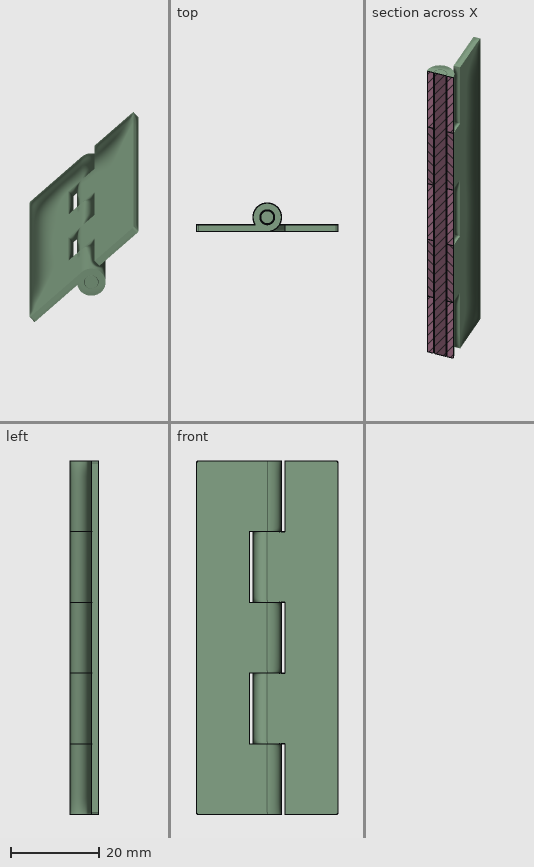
import cadquery as cq

hinge_length = 80.0
open_width = 32.0
leaf_thickness = 1.6
bore_diameter = 3.3
pin_diameter = 3.0
knuckle_count = 5
notch_reach = 4.0
corner_radius = 0.5

knuckle_radius = bore_diameter / 2 + leaf_thickness
knuckle_length = hinge_length / knuckle_count
leaf_width = open_width / 2
leaf_back = -knuckle_radius


def knuckle_start(index):
    """Height of the lower end of a knuckle, counted from the bottom."""
    return index * knuckle_length - hinge_length / 2


def make_plate(side):
    """Flat leaf from the hinge axis outward, with rounded outer corners."""
    outer_edge = ">X" if side > 0 else "<X"
    return (
        cq.Workplane("XY")
        .box(leaf_width, leaf_thickness, hinge_length)
        .translate((side * leaf_width / 2, leaf_back + leaf_thickness / 2, 0))
        .faces(outer_edge)
        .edges("|Y")
        .fillet(corner_radius)
    )


def make_knuckle(index):
    """Solid cylinder over one knuckle length."""
    return (
        cq.Workplane("XY")
        .workplane(offset=knuckle_start(index))
        .circle(knuckle_radius)
        .extrude(knuckle_length)
    )


def make_notch(index):
    """Clearance block for one knuckle of the opposite leaf."""
    return (
        cq.Workplane("XY")
        .workplane(offset=knuckle_start(index))
        .rect(2 * notch_reach, 2 * knuckle_radius)
        .extrude(knuckle_length)
    )


def make_leaf(side, first_knuckle):
    """Leaf on one side (-1 or +1) carrying every second knuckle."""
    leaf = make_plate(side)
    for index in range(knuckle_count):
        if index % 2 == first_knuckle:
            leaf = leaf.union(make_knuckle(index))
        else:
            leaf = leaf.cut(make_notch(index))
    bore = cq.Workplane("XY").circle(bore_diameter / 2).extrude(hinge_length / 2, both=True)
    return leaf.cut(bore)


def make_pin():
    """Plain pin, flush with both ends of the knuckles."""
    return cq.Workplane("XY").circle(pin_diameter / 2).extrude(hinge_length / 2, both=True)


left_leaf = make_leaf(side=-1, first_knuckle=0)
right_leaf = make_leaf(side=1, first_knuckle=1)
pin = make_pin()

result = cq.Compound.makeCompound([left_leaf.val(), right_leaf.val(), pin.val()])